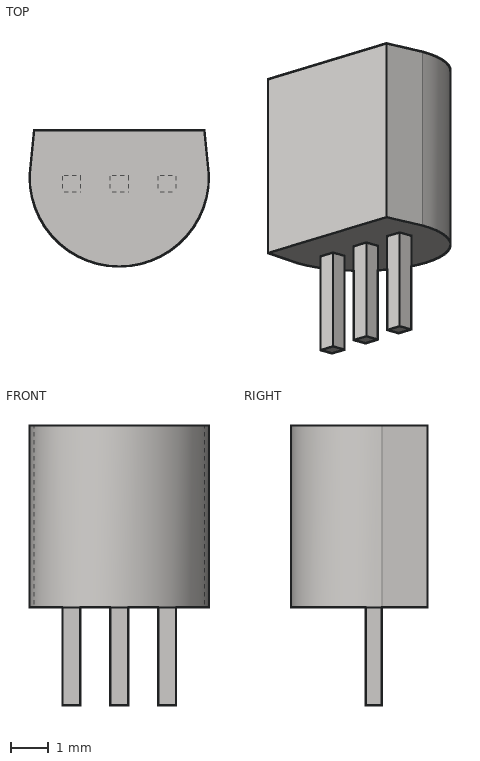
import math

import cadquery as cq

body_radius = 2.381
body_height = 4.822
body_depth = 3.622
flat_width = 4.52
flat_y = body_depth - body_radius

joint_y = 0.03
joint_half_width = math.sqrt(body_radius**2 - joint_y**2)

lead_count = 3
lead_pitch = 1.27
lead_width = 0.48
lead_thickness = 0.43
lead_length = 2.6
lead_y = joint_y - lead_thickness / 2


def make_body():
    """Rounded front that continues into a rear part tapering to the flat."""
    return (
        cq.Workplane("XY")
        .moveTo(-joint_half_width, joint_y)
        .threePointArc((0, -body_radius), (joint_half_width, joint_y))
        .lineTo(flat_width / 2, flat_y)
        .lineTo(-flat_width / 2, flat_y)
        .close()
        .extrude(body_height)
    )


def make_lead(lead_x):
    """One rectangular lead hanging from the underside of the body."""
    return (
        cq.Workplane("XY")
        .center(lead_x, lead_y)
        .rect(lead_width, lead_thickness)
        .extrude(-lead_length)
    )


result = make_body()
for index in range(lead_count):
    offset_from_middle = index - (lead_count - 1) / 2
    result = result.union(make_lead(offset_from_middle * lead_pitch))